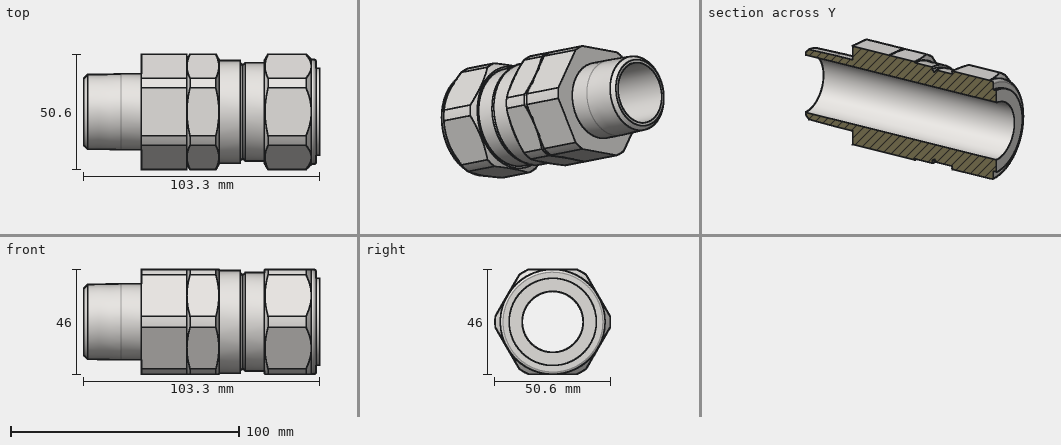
import cadquery as cq
import math

across_flats = 46.0
corner_radius = 25.3

spigot_chamfer_end = 1.8
taper_end = 16.3
body_start = 25.3
body_end = 45.2
middle_nut_end = 59.3
collar_end = 68.6
groove_bottom_x = 69.6
clamp_nut_start = 79.1
rim_start = 99.7
rim_end = 101.8
total_length = 103.35

bore_radius = 13.3
spigot_end_radius = 14.65
taper_small_radius = 16.4
spigot_radius = 16.7
collar_radius = 22.55
groove_radius = 20.4
sleeve_radius = 21.6
rim_radius = 22.95
end_ring_radius = 19.1
rim_fillet = 1.1

nut_chamfer_angle = 30.0
rim_chamfer_angle = 45.0
middle_nut_front_radius = 22.95
middle_nut_rear_radius = 22.8
clamp_nut_front_radius = 22.5


def revolve_about_x(points):
    """Revolve a closed (axial, radial) outline about the X axis."""
    return cq.Workplane("XZ").polyline(points).close().revolve(360, (0, 0, 0), (1, 0, 0))


def cylinder(start, end, radius):
    return cq.Workplane("YZ").workplane(offset=start).circle(radius).extrude(end - start)


def hexagon(start, end):
    """Hexagonal prism with flats on +Z and -Z and its corners turned to a round."""
    across_corners = across_flats / math.cos(math.radians(30))
    prism = cq.Workplane("YZ").workplane(offset=start).polygon(6, across_corners).extrude(end - start)
    return prism.intersect(cylinder(start, end, corner_radius))


def chamfered_nut(start, end, start_radius, end_radius, end_angle):
    """Hexagon with conical chamfers cutting the corners at both ends."""
    start_depth = (corner_radius - start_radius) * math.tan(math.radians(nut_chamfer_angle))
    end_depth = (corner_radius - end_radius) * math.tan(math.radians(end_angle))
    envelope = revolve_about_x([
        (start, 0),
        (start, start_radius),
        (start + start_depth, corner_radius),
        (end - end_depth, corner_radius),
        (end, end_radius),
        (end, 0),
    ])
    return hexagon(start, end).intersect(envelope)


def tapered_spigot():
    """Plain neck with a slightly tapered, chamfered end."""
    return revolve_about_x([
        (0, 0),
        (0, spigot_end_radius),
        (spigot_chamfer_end, taper_small_radius),
        (taper_end, spigot_radius),
        (body_start, spigot_radius),
        (body_start, 0),
    ])


def grooved_collar():
    """Collar and sleeve parted by a 45 degree V-groove."""
    collar_shoulder_radius = groove_radius + groove_bottom_x - collar_end
    groove_end = groove_bottom_x + sleeve_radius - groove_radius
    return revolve_about_x([
        (middle_nut_end, 0),
        (middle_nut_end, collar_radius),
        (collar_end, collar_radius),
        (collar_end, collar_shoulder_radius),
        (groove_bottom_x, groove_radius),
        (groove_end, sleeve_radius),
        (clamp_nut_start, sleeve_radius),
        (clamp_nut_start, 0),
    ])


def rounded_rim():
    """Round lip of the clamping nut, with the end ring standing out of it."""
    rim = cylinder(rim_start, rim_end, rim_radius).faces(">X").edges().fillet(rim_fillet)
    return rim.union(cylinder(rim_end, total_length, end_ring_radius))


result = (
    tapered_spigot()
    .union(hexagon(body_start, body_end))
    .union(chamfered_nut(
        body_end, middle_nut_end, middle_nut_front_radius, middle_nut_rear_radius, nut_chamfer_angle))
    .union(grooved_collar())
    .union(chamfered_nut(
        clamp_nut_start, rim_start, clamp_nut_front_radius, rim_radius, rim_chamfer_angle))
    .union(rounded_rim())
    .cut(cylinder(0, total_length, bore_radius))
)